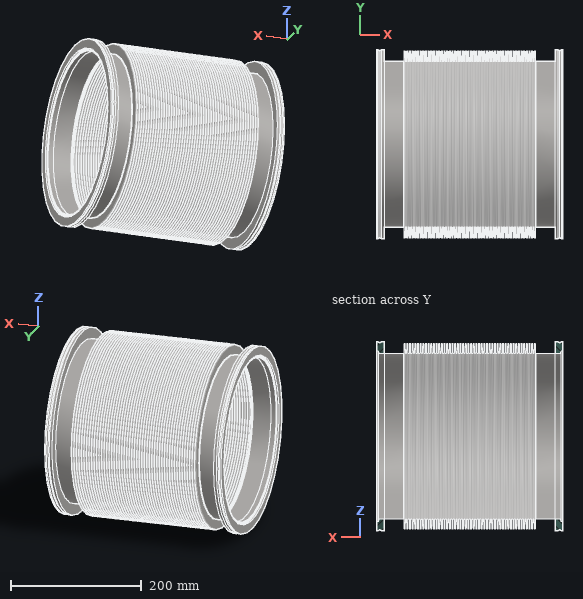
import cadquery as cq

LENGTH = 284.8

FLANGE_RADIUS = 145.0
FLANGE_THICKNESS = 12.0
RECESS_RADIUS = 130.5
RECESS_DEPTH = 3.0
STEP_RADIUS = 128.8
STEP_DEPTH = 0.3
GROOVE_WIDTH = 5.0
GROOVE_DEPTH = 1.7
GROOVE_OFFSET = 5.0

TUBE_OUTER_RADIUS = 127.3
TUBE_INNER_RADIUS = 126.8
LIP_INNER_RADIUS = 123.5

CREST_RADIUS = 143.0
CREST_COUNT = 50
PITCH = 4.0
WALL = 0.44
WIDE_BEND = 1.1

OUTER_FACE = LENGTH / 2
TUBE_END = OUTER_FACE - RECESS_DEPTH - STEP_DEPTH
LIP_START = CREST_COUNT * PITCH / 2
TIGHT_BEND = WIDE_BEND - WALL
LAST_CREST = (CREST_COUNT - 1) * PITCH / 2


def revolve_about_x(outline):
    """Close an outline drawn as (x, radius) and turn it about the X axis."""
    return outline.close().revolve(360, (0, 0, 0), (1, 0, 0))


def add_folds(outline, direction, crest_radius, root_radius, crest_bend, root_bend):
    """Continue an outline over every fold: slightly sloping walls between round crests and round roots.

    The folds run towards +X when direction is 1 and towards -X when it is -1.
    """
    shoulder = crest_radius - crest_bend
    foot = root_radius + root_bend
    for index in range(CREST_COUNT):
        crest_x = direction * (index * PITCH - LAST_CREST)
        crest_shift = direction * crest_bend
        outline = outline.lineTo(crest_x - crest_shift, shoulder)
        outline = outline.threePointArc((crest_x, crest_radius), (crest_x + crest_shift, shoulder))
        if index < CREST_COUNT - 1:
            root_x = crest_x + direction * PITCH / 2
            root_shift = direction * root_bend
            outline = outline.lineTo(root_x - root_shift, foot)
            outline = outline.threePointArc((root_x, root_radius), (root_x + root_shift, foot))
    return outline


def make_bellows():
    """Thin-walled folded hose with a plain tube and a small inner lip at each end."""
    first_wall = LAST_CREST + WIDE_BEND
    first_cavity = LAST_CREST + TIGHT_BEND

    outline = cq.Workplane("XY").moveTo(-TUBE_END, TUBE_OUTER_RADIUS).lineTo(-first_wall, TUBE_OUTER_RADIUS)
    outline = add_folds(outline, 1, CREST_RADIUS, TUBE_OUTER_RADIUS, WIDE_BEND, TIGHT_BEND)
    outline = outline.lineTo(first_wall, TUBE_OUTER_RADIUS).lineTo(TUBE_END, TUBE_OUTER_RADIUS)

    outline = outline.lineTo(TUBE_END, TUBE_INNER_RADIUS).lineTo(LIP_START, TUBE_INNER_RADIUS)
    outline = outline.lineTo(LIP_START, LIP_INNER_RADIUS).lineTo(first_cavity, LIP_INNER_RADIUS)

    outline = add_folds(outline, -1, CREST_RADIUS - WALL, TUBE_OUTER_RADIUS - WALL, TIGHT_BEND, WIDE_BEND)

    outline = outline.lineTo(-first_cavity, LIP_INNER_RADIUS).lineTo(-LIP_START, LIP_INNER_RADIUS)
    outline = outline.lineTo(-LIP_START, TUBE_INNER_RADIUS).lineTo(-TUBE_END, TUBE_INNER_RADIUS)
    return revolve_about_x(outline)


def make_flange(side):
    """Flange ring at the -X end (side -1) or the +X end (side 1), bored to fit the tube."""
    inner_face = OUTER_FACE - FLANGE_THICKNESS
    recess_floor = OUTER_FACE - RECESS_DEPTH
    groove_x = OUTER_FACE - GROOVE_OFFSET
    half_groove = GROOVE_WIDTH / 2
    points = [
        (OUTER_FACE, RECESS_RADIUS),
        (OUTER_FACE, FLANGE_RADIUS),
        (groove_x + half_groove, FLANGE_RADIUS),
        (groove_x, FLANGE_RADIUS - GROOVE_DEPTH),
        (groove_x - half_groove, FLANGE_RADIUS),
        (inner_face, FLANGE_RADIUS),
        (inner_face, TUBE_OUTER_RADIUS),
        (TUBE_END, TUBE_OUTER_RADIUS),
        (TUBE_END, STEP_RADIUS),
        (recess_floor, STEP_RADIUS),
        (recess_floor, RECESS_RADIUS),
    ]
    return revolve_about_x(cq.Workplane("XY").polyline([(side * x, radius) for x, radius in points]))


bellows = make_bellows()
flanges = [make_flange(side) for side in (-1, 1)]

result = cq.Compound.makeCompound([bellows.val(), *[flange.val() for flange in flanges]])